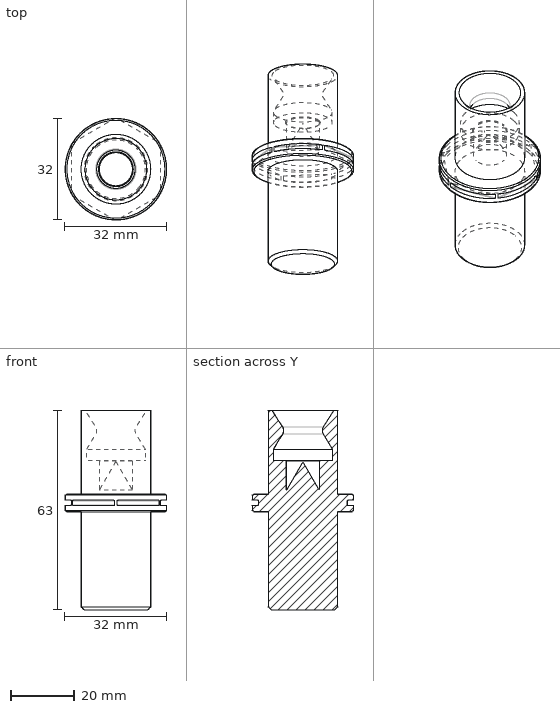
import cadquery as cq
import math

total_height = 63.0
body_diameter = 22.0
body_radius = body_diameter / 2
body_chamfer = 1.0
flange_radius = 16.0
flange_bottom = 31.0
flange_top = 36.6
flange_chamfer_width = 0.55
flange_chamfer_height = 0.4
flat_distance = 14.05
flat_count = 6
groove_bottom = 33.0
groove_top = 34.65
groove_fillet = 0.2

mouth_radius = 9.7
throat_radius = 6.05
throat_depth = 6.35
throat_rounding = 2.2
throat_half_angle = math.radians(31)
chamber_radius = 9.25
chamber_depth = 15.75
pocket_radius = 5.2
pocket_depth = 25.2
pocket_chamfer = 0.25
centre_half_angle = math.radians(30)


def make_blank():
    """Solid body of revolution with the flange and its edge chamfers."""
    chamfer_radius = flange_radius - flange_chamfer_width
    profile = [
        (0, 0),
        (body_radius - body_chamfer, 0),
        (body_radius, body_chamfer),
        (body_radius, flange_bottom),
        (chamfer_radius, flange_bottom),
        (flange_radius, flange_bottom + flange_chamfer_height),
        (flange_radius, flange_top - flange_chamfer_height),
        (chamfer_radius, flange_top),
        (body_radius, flange_top),
        (body_radius, total_height),
        (0, total_height),
    ]
    return cq.Workplane("XZ").polyline(profile).close().revolve(360, (0, 0), (0, 1))


def make_groove():
    """Six flat-bottomed segments around the flange rim."""
    groove_height = groove_top - groove_bottom
    slab_depth = 2 * (flange_radius - flat_distance)
    slab = (
        cq.Workplane("XY")
        .box(slab_depth, 2 * flange_radius, groove_height, centered=(False, True, False))
        .edges("<X and |Y")
        .fillet(groove_fillet)
        .translate((flat_distance, 0, groove_bottom))
    )
    groove = cq.Workplane("XY")
    for index in range(flat_count):
        groove = groove.add(slab.rotate((0, 0, 0), (0, 0, 1), index * 360 / flat_count))
    return groove.combine()


def make_bore():
    """Hourglass bore: conical mouth, rounded throat, wider chamber, pocket around a pointed centre."""
    throat_z = total_height - throat_depth
    chamber_z = total_height - chamber_depth
    pocket_z = total_height - pocket_depth

    tangent_radius = throat_radius + throat_rounding * (1 - math.cos(throat_half_angle))
    tangent_rise = throat_rounding * math.sin(throat_half_angle)
    undercut_height = (chamber_radius - tangent_radius) / math.tan(throat_half_angle)
    centre_height = pocket_radius / math.tan(centre_half_angle)

    return (
        cq.Workplane("XZ")
        .moveTo(0, total_height)
        .lineTo(mouth_radius, total_height)
        .lineTo(tangent_radius, throat_z + tangent_rise)
        .threePointArc((throat_radius, throat_z), (tangent_radius, throat_z - tangent_rise))
        .lineTo(chamber_radius, throat_z - tangent_rise - undercut_height)
        .lineTo(chamber_radius, chamber_z)
        .lineTo(pocket_radius + pocket_chamfer, chamber_z)
        .lineTo(pocket_radius, chamber_z - pocket_chamfer)
        .lineTo(pocket_radius, pocket_z)
        .lineTo(0, pocket_z + centre_height)
        .close()
        .revolve(360, (0, 0), (0, 1))
    )


result = make_blank().cut(make_groove()).cut(make_bore())